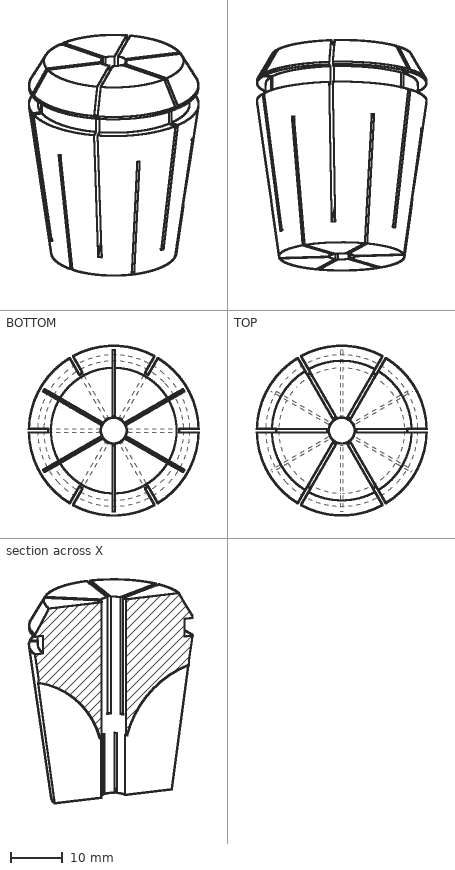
import cadquery as cq
import math

height = 40.0
body_top_z = 31.0
body_top_radius = 16.5
body_bottom_radius = 12.2

groove_width = 3.5
groove_radius = 14.75
rim_width = 0.5
rim_radius = 16.45
nose_cone_angle = 30.0
rim_bottom_z = body_top_z + groove_width
rim_top_z = rim_bottom_z + rim_width
nose_top_radius = rim_radius - (height - rim_top_z) * math.tan(math.radians(nose_cone_angle))

bore_diameter = 5.0

slots_per_set = 6
slot_spacing = 360.0 / slots_per_set
slot_inner_radius = 2.85
slot_reach = 20.0

upper_slot_width = 0.7
upper_slot_inner_z = 16.2
upper_slot_outer_z = 4.0
upper_slot_arc_radius = 25.0

lower_slot_width = 0.5
lower_slot_inner_z = 12.2
lower_slot_outer_z = 25.0
lower_slot_arc_radius = 18.0


def body_radius_at(z):
    """Outer radius of the tapered body at height z."""
    return body_bottom_radius + (body_top_radius - body_bottom_radius) * z / body_top_z


def make_body():
    """Solid of revolution: tapered body, groove, rim and nose cone."""
    return (
        cq.Workplane("XZ")
        .moveTo(0, 0)
        .lineTo(body_bottom_radius, 0)
        .lineTo(body_top_radius, body_top_z)
        .lineTo(groove_radius, body_top_z)
        .lineTo(groove_radius, rim_bottom_z)
        .lineTo(rim_radius, rim_bottom_z)
        .lineTo(rim_radius, rim_top_z)
        .lineTo(nose_top_radius, height)
        .lineTo(0, height)
        .close()
        .revolve(360, (0, 0), (0, 1))
    )


def arc_midpoint(inner, outer, radius, open_side):
    """Middle of the arc bulging away from the open side (+1 up, -1 down)."""
    dx = outer[0] - inner[0]
    dz = outer[1] - inner[1]
    chord = math.hypot(dx, dz)
    sagitta = radius - math.sqrt(radius**2 - (chord / 2) ** 2)
    mid_x = (inner[0] + outer[0]) / 2 + open_side * sagitta * dz / chord
    mid_z = (inner[1] + outer[1]) / 2 - open_side * sagitta * dx / chord
    return mid_x, mid_z


def make_slot_cutter(width, inner_z, outer_z, arc_radius, open_z):
    """One radial slot cutter, open at the end face at height open_z, lying along +X."""
    open_side = 1 if open_z > inner_z else -1
    inner = (slot_inner_radius, inner_z)
    outer = (body_radius_at(outer_z), outer_z)
    return (
        cq.Workplane("XZ")
        .moveTo(0, open_z)
        .lineTo(0, inner_z)
        .lineTo(*inner)
        .threePointArc(arc_midpoint(inner, outer, arc_radius, open_side), outer)
        .lineTo(slot_reach, outer_z)
        .lineTo(slot_reach, open_z)
        .close()
        .extrude(width / 2, both=True)
    )


def cut_slot_set(part, cutter, first_angle):
    """Cut evenly spaced copies of the cutter around Z, the first at first_angle."""
    for index in range(slots_per_set):
        angle = first_angle + index * slot_spacing
        part = part.cut(cutter.rotate((0, 0, 0), (0, 0, 1), angle))
    return part


def cut_upper_slots(part):
    """Slots open at the nose face, the first along +X."""
    cutter = make_slot_cutter(
        upper_slot_width, upper_slot_inner_z, upper_slot_outer_z, upper_slot_arc_radius, height
    )
    return cut_slot_set(part, cutter, 0)


def cut_lower_slots(part):
    """Slots open at the base, midway between the upper slots."""
    cutter = make_slot_cutter(
        lower_slot_width, lower_slot_inner_z, lower_slot_outer_z, lower_slot_arc_radius, 0
    )
    return cut_slot_set(part, cutter, slot_spacing / 2)


def cut_bore(part):
    """Clamping bore through the full height."""
    bore = cq.Workplane("XY").circle(bore_diameter / 2).extrude(height)
    return part.cut(bore)


result = make_body()
result = cut_upper_slots(result)
result = cut_lower_slots(result)
result = cut_bore(result)